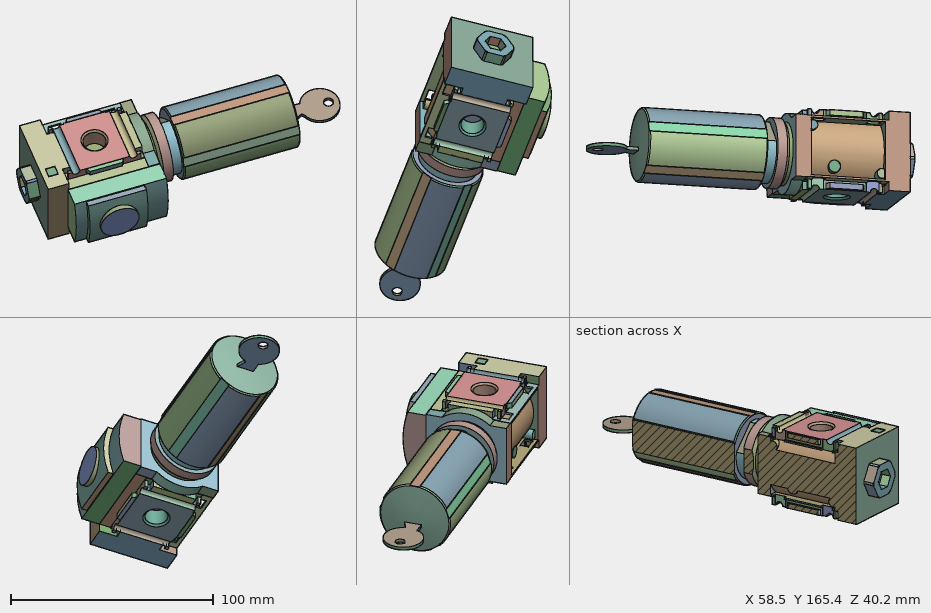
import cadquery as cq
import math


overall_width = 58.5
overall_length = 165.4

housing_width = 42.2
housing_height = 40.2
half_width = housing_width / 2
half_height = housing_height / 2
flange_top_y = 26.8
flange_bottom_y = 20.8
foot_top_y = -20.8
foot_bottom_y = -31.8
flange_half_height = 15.7
strip_half_height = 15.5

rail_half_width = 15.2
rail_corner_x = 11.5
rail_end_y = 17.0
rail_corner_height = 16.0
corner_post_width = 1.7
corner_post_length = 2.0
groove_y = 15.0
groove_radius = 2.0
lug_reach = 2.2
lug_half_length = 9.8
lug_tip_half_length = 8.5
lug_bottom_z = 17.0
lug_top_z = 19.8
port_diameter = 11.4
port_mouth_diameter = 13.4
port_depth = 10.0
slot_outer_x = -19.0
slot_inner_x = -14.7
slot_ends_y = ((11.0, 17.2), (-17.4, -10.9))
badge_size = 5.0
badge_x = 11.0
badge_y = -26.3
badge_depth = 0.3

window_half_height = 14.5
window_end_y = 19.0
insert_diameter = 37.7
post_diameter = 6.1
post_y = 6.1
post_z = -8.8
post_face_x = -18.0
small_post_diameter = 5.0
small_post_face_x = -19.5
small_post_y = 17.7
small_post_z = 11.2

plug_flats = 17.2
plug_turned_diameter = 19.2
plug_length = 5.8
plug_chamfer = 0.3
socket_flats = 9.3
socket_depth = 5.0

neck_base_radius = 31.6 / 2
ring_radius = 35.0 / 2
neck_radius = 15.2
ring_cone_bottom_y = 28.6
ring_cone_top_y = 30.1
ring_top_y = 35.0
knob_radius = 18.5
knob_bottom_y = 40.4
knob_top_y = 101.2
knob_chamfer = 0.7
dome_height = 1.7
neck_flat_distance = 12.5
knob_groove_count = 5
knob_groove_width = 5.3
knob_groove_depth = 0.58

key_bow_radius = 20.0 / 2
key_end_y = foot_bottom_y - plug_length + overall_length
key_bow_y = key_end_y - key_bow_radius
key_hole_diameter = 5.0
key_hole_y = 122.4
key_shoulder_x = 7.3
key_shoulder_y = 111.0
key_neck_x = 4.0
key_neck_y = 108.7
key_notch_x = 2.5
key_notch_y = 107.5
key_foot_x = 5.5
key_thickness = 1.7
key_z = -3.0

gauge_half_height = 15.2
gauge_bottom_y = -21.3
gauge_edge_x = 30.6
gauge_bulge = 2.5
bezel_half_length = 15.2
bezel_half_height = 14.7
bezel_thickness = 3.0
dial_diameter = 20.0
dial_face_x = overall_width - half_width


def box(x0, x1, y0, y1, z0, z1):
    return cq.Workplane("XY").box(x1 - x0, y1 - y0, z1 - z0, centered=False).translate((x0, y0, z0))


def both_sides(shape):
    """The shape together with its mirror image in the XY plane."""
    return shape.union(shape.mirror("XY"))


def y_cylinder(radius, y0, y1):
    return cq.Workplane("XZ", origin=(0, y0, 0)).circle(radius).extrude(y0 - y1)


def hexagon(flats, y0, length):
    """Hexagonal prism along Y with flats facing +Z and -Z."""
    return cq.Workplane("XZ", origin=(0, y0, 0)).polygon(6, flats / math.cos(math.pi / 6)).extrude(-length)


def make_rail():
    """Upper rail plate with cleared corners, corner posts, clamp grooves and side lugs."""
    rail = box(-rail_half_width, rail_half_width, foot_top_y, flange_bottom_y, 0, half_height)
    for side in (-1, 1):
        for end, outer_y in ((-1, foot_top_y), (1, flange_bottom_y)):
            x0, x1 = sorted((side * rail_corner_x, side * rail_half_width))
            y0, y1 = sorted((end * rail_end_y, outer_y))
            rail = rail.cut(box(x0, x1, y0, y1, rail_corner_height, half_height))
            x0, x1 = sorted((side * (rail_half_width - corner_post_width), side * rail_half_width))
            y0, y1 = sorted((end * rail_end_y, end * (rail_end_y + corner_post_length)))
            rail = rail.union(box(x0, x1, y0, y1, 0, half_height))
        lug = (
            cq.Workplane("XY", origin=(0, 0, lug_bottom_z))
            .moveTo(side * rail_half_width, -lug_half_length)
            .lineTo(side * (rail_half_width + lug_reach), -lug_tip_half_length)
            .lineTo(side * (rail_half_width + lug_reach), lug_tip_half_length)
            .lineTo(side * rail_half_width, lug_half_length)
            .close()
            .extrude(lug_top_z - lug_bottom_z)
        )
        rail = rail.union(lug)
    grooves = (
        cq.Workplane("YZ", origin=(-half_width, 0, 0))
        .pushPoints([(-groove_y, half_height), (groove_y, half_height)])
        .circle(groove_radius)
        .extrude(2 * half_width)
    )
    return rail.cut(grooves)


def make_port():
    chamfer = (port_mouth_diameter - port_diameter) / 2
    bore = cq.Workplane("XY", origin=(0, 0, half_height - port_depth)).circle(port_diameter / 2).extrude(port_depth)
    mouth = cq.Workplane("XY").add(
        cq.Solid.makeCone(
            port_diameter / 2, port_mouth_diameter / 2, chamfer, cq.Vector(0, 0, half_height - chamfer)
        )
    )
    return bore.union(mouth)


def make_housing_block():
    strips = box(-half_width, half_width, foot_top_y, flange_bottom_y, -strip_half_height, strip_half_height)
    flange = box(
        -half_width, half_width, flange_bottom_y, flange_top_y, -flange_half_height, flange_half_height
    )
    flange_collar = y_cylinder(half_height, flange_bottom_y, flange_top_y)
    foot = box(-half_width, half_width, foot_bottom_y, foot_top_y, -half_height, half_height)
    block = strips.union(flange).union(flange_collar).union(foot).union(both_sides(make_rail()))
    for y0, y1 in slot_ends_y:
        slot = box(slot_outer_x, slot_inner_x, y0, y1, window_half_height, half_height)
        block = block.cut(both_sides(slot))
    badge = box(
        badge_x - badge_size / 2, badge_x + badge_size / 2,
        badge_y - badge_size / 2, badge_y + badge_size / 2,
        half_height - badge_depth, half_height,
    )
    return block.cut(both_sides(make_port())).cut(badge)


def make_window():
    """Pocket in the -X side that leaves the round valve insert and its posts standing."""
    window = box(-half_width, 0, -window_end_y, window_end_y, -window_half_height, window_half_height)
    keep = y_cylinder(insert_diameter / 2, -window_end_y, window_end_y)
    posts = ((post_y, post_z, post_diameter, post_face_x),
             (small_post_y, small_post_z, small_post_diameter, small_post_face_x),
             (-small_post_y, -small_post_z, small_post_diameter, small_post_face_x))
    for y, z, diameter, face_x in posts:
        post = cq.Workplane("YZ", origin=(face_x, y, z)).circle(diameter / 2).extrude(-face_x)
        keep = keep.union(post)
    return window.cut(keep)


def make_plug():
    turned = y_cylinder(plug_turned_diameter / 2, foot_bottom_y, foot_bottom_y - plug_length)
    turned = turned.faces("<Y").chamfer(plug_chamfer)
    plug = hexagon(plug_flats, foot_bottom_y - plug_length, plug_length).intersect(turned)
    return plug.cut(hexagon(socket_flats, foot_bottom_y - plug_length, socket_depth))


def make_neck():
    neck = (
        cq.Workplane("XY")
        .moveTo(0, flange_top_y)
        .lineTo(neck_base_radius, flange_top_y)
        .lineTo(neck_base_radius, ring_cone_bottom_y)
        .lineTo(ring_radius, ring_cone_top_y)
        .lineTo(ring_radius, ring_top_y)
        .lineTo(neck_radius, ring_top_y)
        .lineTo(neck_radius, knob_bottom_y)
        .lineTo(0, knob_bottom_y)
        .close()
        .revolve(360, (0, 0, 0), (0, 1, 0))
    )
    flat = box(
        neck_flat_distance, 2 * neck_radius, ring_top_y, knob_bottom_y, -neck_radius, neck_radius
    ).rotate((0, 0, 0), (0, 1, 0), -135)
    return neck.cut(flat)


def make_knob():
    rim_radius = knob_radius - knob_chamfer
    dome_radius = (rim_radius**2 + dome_height**2) / (2 * dome_height)
    dome_mid_x = rim_radius / 2
    dome_mid_y = knob_top_y + dome_height - dome_radius + math.sqrt(dome_radius**2 - dome_mid_x**2)
    knob = (
        cq.Workplane("XY")
        .moveTo(0, knob_bottom_y)
        .lineTo(rim_radius, knob_bottom_y)
        .lineTo(knob_radius, knob_bottom_y + knob_chamfer)
        .lineTo(knob_radius, knob_top_y - knob_chamfer)
        .lineTo(rim_radius, knob_top_y)
        .threePointArc((dome_mid_x, dome_mid_y), (0, knob_top_y + dome_height))
        .close()
        .revolve(360, (0, 0, 0), (0, 1, 0))
    )
    groove = box(
        -knob_groove_width / 2, knob_groove_width / 2,
        knob_bottom_y, knob_top_y + dome_height,
        knob_radius - knob_groove_depth, knob_radius,
    )
    for i in range(knob_groove_count):
        knob = knob.cut(groove.rotate((0, 0, 0), (0, 1, 0), i * 360 / knob_groove_count))
    return knob


def make_key():
    plane = cq.Workplane("XY", origin=(0, 0, key_z - key_thickness / 2))
    bow = plane.center(0, key_bow_y).circle(key_bow_radius).extrude(key_thickness)
    shank = (
        plane.moveTo(0, key_bow_y)
        .lineTo(-key_shoulder_x, key_shoulder_y)
        .lineTo(-key_neck_x, key_neck_y)
        .lineTo(-key_neck_x, knob_top_y)
        .lineTo(key_foot_x, knob_top_y)
        .lineTo(key_notch_x, key_notch_y)
        .lineTo(key_neck_x, key_neck_y)
        .lineTo(key_shoulder_x, key_shoulder_y)
        .close()
        .extrude(key_thickness)
    )
    hole = plane.center(0, key_hole_y).circle(key_hole_diameter / 2).extrude(key_thickness)
    return bow.union(shank).cut(hole)


def bulged_plate(edge_x, half_plate_height, bulge, y0, y1):
    """Plate from the housing side to a front that bulges toward +X in the XZ plane."""
    return (
        cq.Workplane("XZ", origin=(0, y0, 0))
        .moveTo(half_width, -half_plate_height)
        .lineTo(edge_x, -half_plate_height)
        .threePointArc((edge_x + bulge, 0), (edge_x, half_plate_height))
        .lineTo(half_width, half_plate_height)
        .close()
        .extrude(y0 - y1)
    )


def make_gauge():
    case = bulged_plate(gauge_edge_x, gauge_half_height, gauge_bulge, gauge_bottom_y, flange_top_y)
    bezel = bulged_plate(
        gauge_edge_x + bezel_thickness, bezel_half_height, gauge_bulge, -bezel_half_length, bezel_half_length
    )
    dial = cq.Workplane("YZ", origin=(half_width, 0, 0)).circle(dial_diameter / 2).extrude(dial_face_x - half_width)
    return case.union(bezel).union(dial)


def make_regulator():
    regulator = make_housing_block().cut(make_window())
    for feature in (make_plug(), make_neck(), make_knob(), make_key()):
        regulator = regulator.union(feature)
    return regulator


regulator = make_regulator()
gauge = make_gauge()
result = cq.Compound.makeCompound([regulator.val(), gauge.val()])